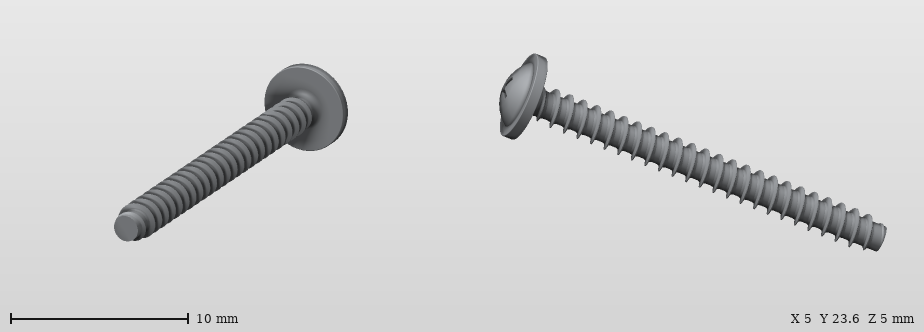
import cadquery as cq
import math

overall_length = 23.57
shank_length = 22.0

flange_diameter = 5.0
flange_thickness = 0.64
flange_edge_fillet = 0.05
dome_base_diameter = 3.87
recess_span = 1.7
recess_slot_width = 0.3

core_diameter = 1.5
neck_diameter = 1.65
neck_fillet = 0.35
neck_length = 0.52
neck_taper_length = 0.38

thread_diameter = 2.2
pitch = 0.85
crest_width = 0.05
knee_width = 0.24
knee_height = 0.05
toe_width = 0.52
toe_overlap = 0.02
thread_length = 21.57
run_in_length = 0.95
run_in_diameter = 1.85
run_out_length = 1.25
run_out_diameter = 1.5

flange_radius = flange_diameter / 2
core_radius = core_diameter / 2
neck_radius = neck_diameter / 2
head_top = overall_length - shank_length


def make_body():
    """Revolved domed head, neck and core."""
    dome_radius = dome_base_diameter / 2
    corner_radius = recess_slot_width / math.sqrt(2)
    dome_center = (
        head_top**2 + corner_radius**2 - flange_thickness**2 - dome_radius**2
    ) / (2 * (head_top - flange_thickness))
    sphere_radius = math.hypot(dome_radius, flange_thickness - dome_center)
    half_angle = math.asin(dome_radius / sphere_radius) / 2
    dome_middle = (
        sphere_radius * math.sin(half_angle),
        dome_center + sphere_radius * math.cos(half_angle),
    )
    fillet_offset = neck_fillet * (1 - math.sqrt(0.5))
    body = (
        cq.Workplane("XY")
        .moveTo(0, -shank_length)
        .lineTo(core_radius, -shank_length)
        .lineTo(core_radius, -neck_length - neck_taper_length)
        .lineTo(neck_radius, -neck_length)
        .lineTo(neck_radius, -neck_fillet)
        .threePointArc(
            (neck_radius + fillet_offset, -fillet_offset),
            (neck_radius + neck_fillet, 0),
        )
        .lineTo(flange_radius, 0)
        .lineTo(flange_radius, flange_thickness)
        .lineTo(dome_radius, flange_thickness)
        .threePointArc(dome_middle, (0, dome_center + sphere_radius))
        .close()
        .revolve(360, (0, 0, 0), (0, 1, 0))
    )
    rim = cq.selectors.RadiusNthSelector(-1)
    return body.edges("%CIRCLE").edges(rim).fillet(flange_edge_fillet)


def make_recess():
    """Cross-shaped drive recess, cut down to the top of the flange."""
    cut_height = head_top
    slots = (
        cq.Workplane("XZ")
        .rect(recess_span, recess_slot_width)
        .extrude(-cut_height)
        .union(cq.Workplane("XZ").rect(recess_slot_width, recess_span).extrude(-cut_height))
    )
    return slots.translate((0, flange_thickness, 0))


def make_helix(start_height, length, start_radius, end_radius):
    """Right-handed helix about Z whose radius changes evenly over its length."""
    taper = math.atan2(end_radius - start_radius, length)
    slant = 1 / math.cos(taper)
    cone_angle = math.degrees(taper) if taper else 360
    helix = cq.Wire.makeHelix(pitch * slant, length * slant, start_radius, angle=cone_angle)
    start_angle = 360 * start_height / pitch
    helix = helix.rotate(cq.Vector(), cq.Vector(0, 0, 1), start_angle)
    return helix.translate(cq.Vector(0, 0, start_height))


def ridge_section(crest_radius, knee_radius):
    """Corners of the ridge section as (radius, height), from its lower to its upper side."""
    toe_slope = (toe_width - knee_width) / 2 / knee_height
    sunk_half = toe_width / 2 + toe_slope * toe_overlap
    lower_side = [
        (core_radius - toe_overlap, -sunk_half),
        (knee_radius, -knee_width / 2),
        (crest_radius, -crest_width / 2),
    ]
    upper_side = [(radius, -height) for radius, height in reversed(lower_side)]
    return lower_side + upper_side


def make_cap(section, height):
    """Flat face across the ridge at the given height along the helix."""
    points = [cq.Vector(radius, 0, offset) for radius, offset in section]
    cap = cq.Face.makeFromWires(cq.Wire.makePolygon(points, close=True))
    cap = cap.rotate(cq.Vector(), cq.Vector(0, 0, 1), 360 * height / pitch)
    return cap.translate(cq.Vector(0, 0, height))


def make_thread():
    """Right-handed ridge that fades toward the tip and rises below the head."""
    full_length = thread_length - run_in_length - run_out_length
    full_section = ridge_section(thread_diameter / 2, core_radius + knee_height)
    sunk_knee_radius = core_radius - toe_overlap / 2
    tip_section = ridge_section(run_out_diameter / 2, sunk_knee_radius)
    head_section = ridge_section(run_in_diameter / 2, core_radius + knee_height)

    stretches = [
        (run_out_length, tip_section, full_section),
        (full_length, full_section, full_section),
        (run_in_length, full_section, head_section),
    ]
    faces = [make_cap(tip_section, 0), make_cap(head_section, thread_length)]
    height = 0
    for length, section_below, section_above in stretches:
        edges = [
            make_helix(height, length, below[0], above[0]).translate(cq.Vector(0, 0, below[1]))
            for below, above in zip(section_below, section_above)
        ]
        for index, edge in enumerate(edges):
            faces.append(cq.Face.makeRuledSurface(edges[index - 1], edge))
        height += length
    ridge = cq.Solid.makeSolid(cq.Shell.makeShell(faces))

    ridge = cq.Workplane(ridge).rotate((0, 0, 0), (1, 0, 0), -90).rotate((0, 0, 0), (0, 1, 0), 90)
    return ridge.translate((0, -shank_length, 0))


def make_tip_trim():
    """Cylinder below the tip that squares off the thread toe."""
    return (
        cq.Workplane("XZ", origin=(0, -shank_length, 0))
        .circle(thread_diameter / 2)
        .extrude(pitch)
    )


result = make_body().cut(make_recess()).union(make_thread()).cut(make_tip_trim())